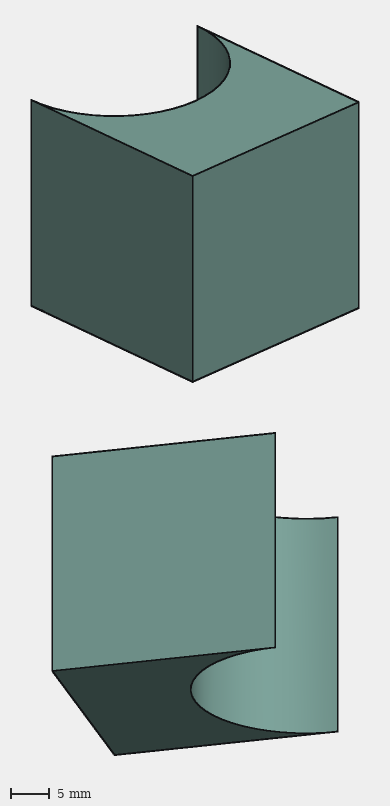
import cadquery as cq

side = 30.0
half_side = side / 2
trough_radius = half_side

profile = (
    cq.Workplane("XY")
    .moveTo(-half_side, -half_side)
    .lineTo(half_side, -half_side)
    .lineTo(half_side, half_side)
    .lineTo(-half_side, half_side)
    .threePointArc((-half_side + trough_radius, 0), (-half_side, -half_side))
    .close()
)

result = profile.extrude(side)